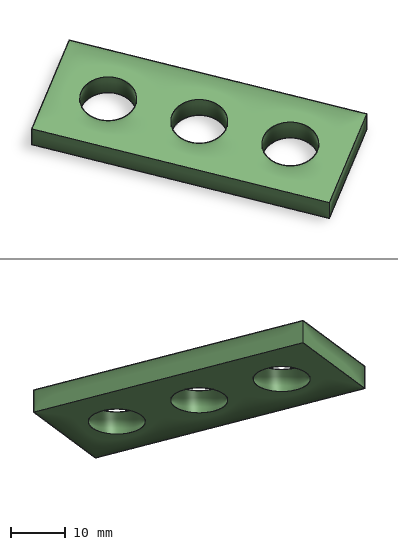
import cadquery as cq

length = 57.15
width = 22.25
thickness = 4.5

hole_count = 3
hole_diameter = 10.4
hole_pitch = 17.5

plate = cq.Workplane("XY").box(length, width, thickness)

result = (
    plate.faces(">Z")
    .workplane()
    .rarray(hole_pitch, 0.6, hole_count, 1)
    .hole(hole_diameter)
)